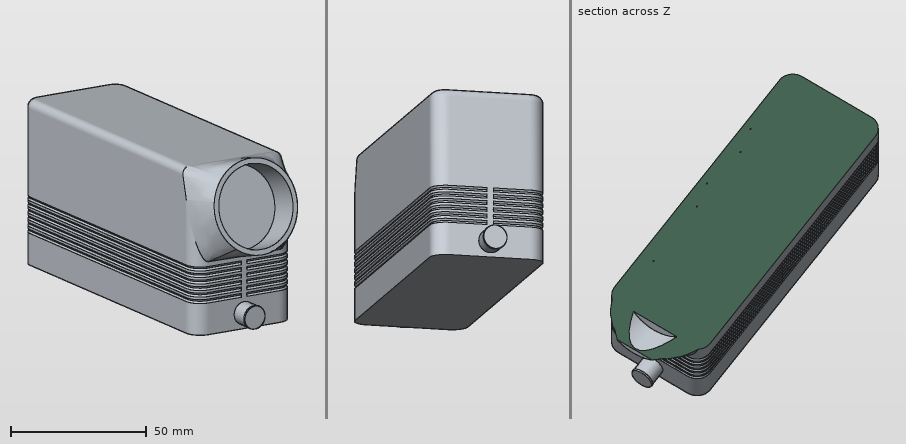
import math

import cadquery as cq

LENGTH = 120.0
WIDTH = 43.0
HEIGHT = 63.0
CORNER_RADIUS = 6.0
TOP_RADIUS = 3.0

PIN_DIAMETER = 8.8
PIN_LENGTH = 7.5
PIN_HEIGHT = 6.0
PIN_HEAD_DIAMETER = 9.1
PIN_RIM_SETBACK = 0.6
PIN_HEAD_LENGTH = 1.2
PIN_ROOT = 2.0

GROOVE_COUNT = 6
GROOVE_PITCH = 2.5
GROOVE_HEIGHT = 1.5
GROOVE_DEPTH = 0.5
FIRST_GROOVE_BOTTOM = 12.2
WEB_WIDTH = 2.5

COLLAR_TILT = 14.5
COLLAR_FOOT = 28.0
COLLAR_LENGTH = 13.0
COLLAR_DIAMETER = 36.0
BORE_DIAMETER = 32.0

MOUTH_ANGLES = [43.0, 54.0, 77.0, 143.0]

TILT = math.radians(COLLAR_TILT)
SLOPE_LENGTH = (HEIGHT - COLLAR_FOOT) / math.cos(TILT)


def rounded_rectangle(inset=0):
    """Plan outline of the body, moved inwards by the inset."""
    outline = cq.Sketch().rect(LENGTH - 2 * inset, WIDTH - 2 * inset)
    return outline.vertices().fillet(CORNER_RADIUS - inset)


def slope_plane():
    """Plane of the sloped end: local x is Y, local y runs up the slope, origin mid-slope."""
    mid_height = (HEIGHT + COLLAR_FOOT) / 2
    mid_x = LENGTH / 2 - SLOPE_LENGTH / 2 * math.sin(TILT)
    return cq.Plane(
        origin=(mid_x, 0, mid_height),
        xDir=(0, 1, 0),
        normal=(math.cos(TILT), 0, math.sin(TILT)),
    )


def body():
    hood = cq.Workplane("XY").placeSketch(rounded_rectangle()).extrude(HEIGHT)
    hood = hood.faces(">Z").edges().fillet(TOP_RADIUS)
    beyond_slope = cq.Workplane(slope_plane()).rect(2 * WIDTH, 2 * HEIGHT).extrude(LENGTH)
    return hood.cut(beyond_slope)


def groove_cutter(bottom):
    """Ring of V section, open outwards, with gaps left for the webs."""
    full = rounded_rectangle()
    waist = rounded_rectangle(GROOVE_DEPTH)
    to_waist = cq.Location(cq.Vector(0, 0, GROOVE_HEIGHT / 2))
    to_top = cq.Location(cq.Vector(0, 0, GROOVE_HEIGHT))
    base = cq.Workplane("XY").workplane(offset=bottom)
    core = base.placeSketch(full, waist.moved(to_waist), full.moved(to_top)).loft(ruled=True)
    web = cq.Workplane("XY").box(2 * LENGTH, WEB_WIDTH, 2 * HEIGHT)
    block = base.rect(LENGTH, WIDTH).extrude(GROOVE_HEIGHT)
    return block.cut(core).cut(web)


def collar():
    """Ruled transition from the sloped end of the body to the round mouth."""
    half_width = WIDTH / 2
    half_slope = SLOPE_LENGTH / 2
    top_rise = TOP_RADIUS / math.cos(TILT)
    corner_rise = CORNER_RADIUS / math.sin(TILT)
    roof_half = half_width - TOP_RADIUS
    foot_half = half_width - CORNER_RADIUS
    side_top = half_slope - top_rise
    side_bottom = corner_rise - half_slope
    radius = COLLAR_DIAMETER / 2

    def mouth_point(angle):
        return (radius * math.sin(math.radians(angle)), radius * math.cos(math.radians(angle)))

    root = (
        cq.Workplane(slope_plane())
        .moveTo(-roof_half, half_slope)
        .lineTo(roof_half, half_slope)
        .ellipseArc(TOP_RADIUS, top_rise, 0, 90, sense=-1)
        .lineTo(half_width, side_bottom)
        .ellipseArc(CORNER_RADIUS, corner_rise, 270, 360, sense=-1)
        .lineTo(-foot_half, -half_slope)
        .ellipseArc(CORNER_RADIUS, corner_rise, 180, 270, sense=-1)
        .lineTo(-half_width, side_top)
        .ellipseArc(TOP_RADIUS, top_rise, 90, 180, sense=-1)
        .close()
    )
    stops = MOUTH_ANGLES + [360 - angle for angle in reversed(MOUTH_ANGLES)]
    mouth = root.workplane(offset=COLLAR_LENGTH).moveTo(*mouth_point(-MOUTH_ANGLES[0]))
    previous = -MOUTH_ANGLES[0]
    for stop in stops:
        middle = (previous + stop) / 2
        mouth = mouth.threePointArc(mouth_point(middle), mouth_point(stop))
        previous = stop
    return mouth.close().loft(ruled=True)


def bore():
    """Round hole through the collar, ending at the sloped end of the body."""
    return cq.Workplane(slope_plane()).circle(BORE_DIAMETER / 2).extrude(COLLAR_LENGTH)


def pin(direction):
    """Pin with a flared rim pointing along +X (direction 1) or -X (direction -1)."""
    radius = PIN_DIAMETER / 2
    root = LENGTH / 2 - PIN_ROOT
    tip = LENGTH / 2 + PIN_LENGTH
    half_section = (
        cq.Workplane("XZ", origin=(0, 0, PIN_HEIGHT))
        .moveTo(direction * root, 0)
        .lineTo(direction * root, radius)
        .lineTo(direction * (tip - PIN_HEAD_LENGTH), radius)
        .lineTo(direction * (tip - PIN_RIM_SETBACK), PIN_HEAD_DIAMETER / 2)
        .lineTo(direction * tip, radius)
        .lineTo(direction * tip, 0)
        .close()
    )
    return half_section.revolve(360, (0, 0, 0), (1, 0, 0))


result = body()
for index in range(GROOVE_COUNT):
    result = result.cut(groove_cutter(FIRST_GROOVE_BOTTOM + index * GROOVE_PITCH))
result = result.union(collar()).cut(bore())
for end in (1, -1):
    result = result.union(pin(end))